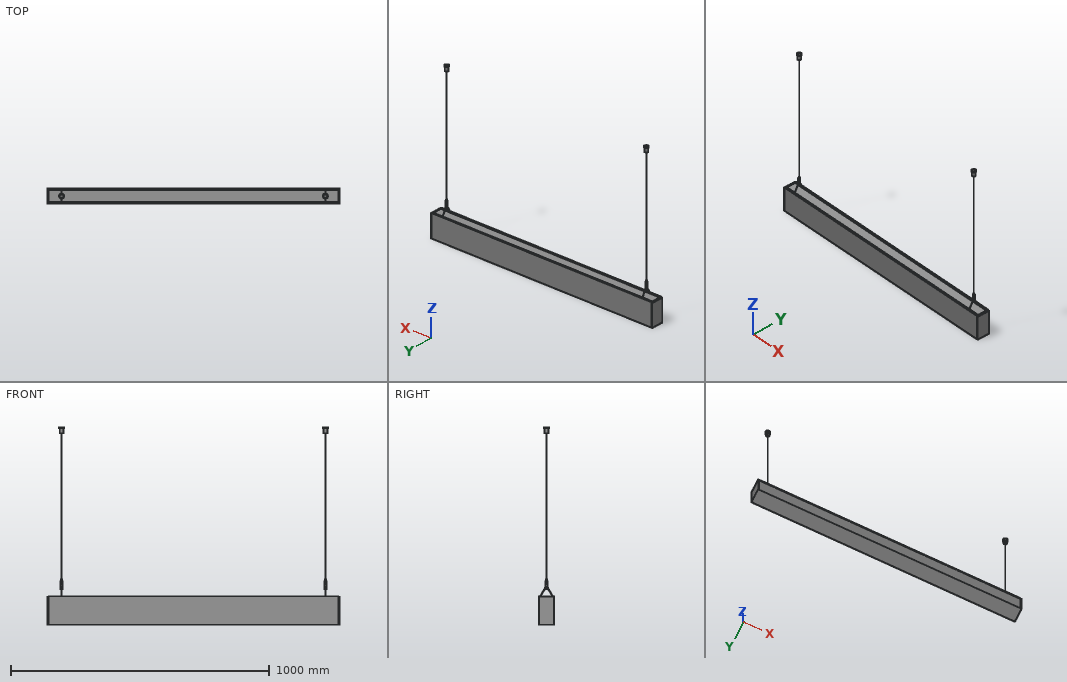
import cadquery as cq

LENGTH = 1134.0
WIDTH = 60.0
TOTAL_HEIGHT = 766.34

HOUSING_HEIGHT = 112.0
CAP_THICKNESS = 6.0
CAP_DROP = 2.5
CAP_SIDE_INSET = 0.2
PROFILE_LENGTH = LENGTH - 2 * CAP_THICKNESS
GROOVE_WIDTH = 4.0
GROOVE_DEPTH = 1.5
GROOVE_OFFSET = 24.0
GROOVE_FLOOR = HOUSING_HEIGHT - GROOVE_DEPTH

SUSPENSION_SPACING = 1022.0
CABLE_DIAMETER = 1.5

FERRULE_HEIGHT = 24.0
FERRULE_DIAMETER = 16.0
FLANGE_DIAMETER = 20.0
FLANGE_HEIGHT = 3.5
FERRULE_RECESS_DEPTH = 1.0

GRIPPER_BOTTOM = 138.0
GRIPPER_HEIGHT = 32.0
GRIPPER_DIAMETER = 10.0
GRIPPER_HOLE_DIAMETER = 5.0
GRIPPER_HOLE_SPACING = 13.0
NOZZLE_HEIGHT = 7.0
NOZZLE_DIAMETER = 5.0

LEG_TOP = 148.0
LEG_TOP_Y = 2.5
LEG_FOOT_Y = GROOVE_OFFSET


def block(length, width, height):
    """Box centred on X and Y, standing on Z = 0."""
    return cq.Workplane("XY").box(length, width, height, centered=(True, True, False))


def cylinder(diameter, bottom, height):
    """Vertical cylinder on the Z axis."""
    return cq.Workplane("XY").workplane(offset=bottom).circle(diameter / 2).extrude(height)


def make_housing():
    """Grooved profile; its end caps stand back from it at the top and both sides."""
    profile = block(PROFILE_LENGTH, WIDTH, HOUSING_HEIGHT)
    groove = block(PROFILE_LENGTH, GROOVE_WIDTH, GROOVE_DEPTH)
    for side in (-1, 1):
        groove_place = (0, side * GROOVE_OFFSET, GROOVE_FLOOR)
        profile = profile.cut(groove.translate(groove_place))
    caps = block(LENGTH, WIDTH - 2 * CAP_SIDE_INSET, HOUSING_HEIGHT - CAP_DROP)
    return profile.union(caps)


def make_ferrule():
    """Flanged ceiling ferrule with a shallow round recess in its top."""
    flange_bottom = TOTAL_HEIGHT - FLANGE_HEIGHT
    recess_bottom = TOTAL_HEIGHT - FERRULE_RECESS_DEPTH
    barrel = cylinder(FERRULE_DIAMETER, TOTAL_HEIGHT - FERRULE_HEIGHT, FERRULE_HEIGHT)
    flange = cylinder(FLANGE_DIAMETER, flange_bottom, FLANGE_HEIGHT)
    recess = cylinder(FERRULE_DIAMETER, recess_bottom, FERRULE_RECESS_DEPTH)
    return barrel.union(flange).cut(recess)


def make_gripper():
    """Cable gripper with a nozzle on top and two cross holes along X."""
    gripper = cylinder(GRIPPER_DIAMETER, GRIPPER_BOTTOM, GRIPPER_HEIGHT)
    nozzle = cylinder(NOZZLE_DIAMETER, GRIPPER_BOTTOM + GRIPPER_HEIGHT, NOZZLE_HEIGHT)
    middle = GRIPPER_BOTTOM + GRIPPER_HEIGHT / 2
    holes = (
        cq.Workplane("YZ")
        .pushPoints([(0, middle + side * GRIPPER_HOLE_SPACING / 2) for side in (-1, 1)])
        .circle(GRIPPER_HOLE_DIAMETER / 2)
        .extrude(GRIPPER_DIAMETER, both=True)
    )
    return gripper.union(nozzle).cut(holes)


def make_leg(side):
    """Sloping cable from the gripper to a housing groove; side is +1 or -1 along Y."""
    start = cq.Vector(0, side * LEG_TOP_Y, LEG_TOP)
    foot = cq.Vector(0, side * LEG_FOOT_Y, GROOVE_FLOOR)
    run = foot - start
    return cq.Workplane(cq.Solid.makeCylinder(CABLE_DIAMETER / 2, run.Length, start, run))


def make_suspension():
    """One complete suspension on the Z axis."""
    cable_bottom = GRIPPER_BOTTOM + GRIPPER_HEIGHT
    cable_top = TOTAL_HEIGHT - FERRULE_HEIGHT
    cable = cylinder(CABLE_DIAMETER, cable_bottom, cable_top - cable_bottom)
    suspension = make_gripper().union(cable).union(make_ferrule())
    for side in (-1, 1):
        suspension = suspension.union(make_leg(side))
    return suspension


result = make_housing()
for end in (-1, 1):
    result = result.union(make_suspension().translate((end * SUSPENSION_SPACING / 2, 0, 0)))